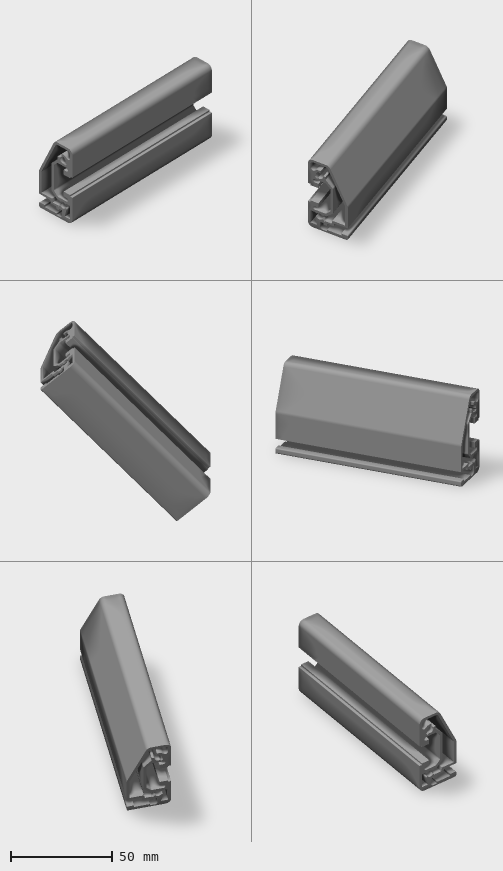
import cadquery as cq
import math

length = 100.0
width = 22.5
height = 45.0
wall = 1.5
overlap = 0.5

slope_angle = math.radians(65)
slope_start_z = 22.4
corner_radius = 3.0
inner_corner_radius = corner_radius - wall
slope_bend_radius = 3.0
slope_top_x = (height - slope_start_z) / math.tan(slope_angle)
inner_right_x = width - wall

mid_z = height / 2
chamber_left_x = 9.9
chamber_half_height = 10.2
chamber_chamfer = 2.6
chamber_bend_radius = 1.0
lip_left_x = 16.6
lip_inner_offset = 8.0
slot_half_opening = 5.1
slot_half_mouth = 6.0
mouth_edge_radius = 0.2
undercut_end_x = 19.6
chamber_outer_chamfer = chamber_chamfer + wall * (2 - math.sqrt(2))
chamber_floor_z = mid_z - chamber_half_height - wall
chamber_roof_z = mid_z + chamber_half_height + wall

channel_x = 16.0
channel_radius = 2.0
upper_channel_z = 36.1
lower_channel_z = 8.9
channel_outer_radius = 3.5
hook_tip_x = 15.3
hook_root_radius = 1.4
arm_left_x = 12.6
arm_top_z = 36.8
arm_right_x = 14.1
arm_tip_radius = 0.6
relief_width = 1.5
relief_reach = 2.9
rib_depth = 0.5
rib_left_x = 13.8
rib_right_x = 18.2

floor_z = 9.3
step_top_x = 8.7
step_foot_x = 9.2
step_floor_z = 7.2
valley_left_x = 12.8
valley_width = 0.6
valley_bevel = 0.3
valley_z = 6.9
peak_z = 7.9
left_peak_x = 14.2
right_peak_x = 18.0
right_peak_bevel = 0.4
web_top_x = 18.4
web_foot_x = 17.4
room_bottom_z = 2.7
shelf_lip_z = 8.1
shelf_bottom_z = 7.8
shelf_end_x = 7.5
step_bottom_z = 6.0
step_bottom_left_x = 8.0
step_bottom_right_x = 11.4
tab_bottom_z = 4.5
tab_left_x = 11.8
tab_right_x = 13.6
groove_roof_z = 5.5
groove_end_x = 15.6
groove_end_radius = 1.4
base_thickness = 1.8
recess_floor_z = 0.9
recess_left_x = 11.7
base_lip_width = 3.7
base_lip_height = 3.0
base_top_corner_radius = 0.6
base_bottom_corner_radius = 0.8


def extrude(sketch):
    return sketch.extrude(-length)


def prism(points):
    return extrude(cq.Workplane("XZ").polyline(points).close())


def cylinder(x, z, radius):
    return extrude(cq.Workplane("XZ").center(x, z).circle(radius))


def round_corners(solid, points, radius):
    """Fillet the lengthwise edges standing at the given (x, z) points."""
    for x, z in points:
        edge = cq.selectors.NearestToPointSelector((x, length / 2, z))
        solid = solid.edges(edge).fillet(radius)
    return solid


def outer_block():
    block = prism([
        (0, 0),
        (width, 0),
        (width, height),
        (slope_top_x, height),
        (0, slope_start_z),
    ])
    big_corners = [(width, 0), (width, height), (slope_top_x, height)]
    block = round_corners(block, big_corners, corner_radius)
    block = round_corners(block, [(0, slope_start_z)], slope_bend_radius)
    return round_corners(block, [(0, 0)], base_bottom_corner_radius)


def inner_room():
    """Hollow inside the shell, down to the stepped floor and the lower right pocket."""
    bend_z = slope_start_z - wall * math.tan((math.pi / 2 - slope_angle) / 2)
    top_z = height - wall
    top_left_x = wall + (top_z - bend_z) / math.tan(slope_angle)
    room = prism([
        (wall, floor_z),
        (step_top_x, floor_z),
        (step_foot_x, step_floor_z),
        (valley_left_x, step_floor_z),
        (valley_left_x + valley_bevel, valley_z),
        (valley_left_x + valley_width, valley_z),
        (left_peak_x, peak_z),
        (right_peak_x, peak_z),
        (web_top_x, peak_z - right_peak_bevel),
        (web_top_x, valley_z),
        (web_foot_x, room_bottom_z),
        (inner_right_x, room_bottom_z),
        (inner_right_x, top_z),
        (top_left_x, top_z),
        (wall, bend_z),
    ])
    corners = [(inner_right_x, top_z), (top_left_x, top_z)]
    return round_corners(room, corners, inner_corner_radius)


def chamber_block():
    """Solid block holding the slot chamber with its wall around it."""
    left_x = chamber_left_x - wall
    half = chamber_half_height + wall
    chamfer = chamber_outer_chamfer
    right_x = inner_right_x + overlap
    block = prism([
        (right_x, mid_z - half),
        (left_x + chamfer, mid_z - half),
        (left_x, mid_z - half + chamfer),
        (left_x, mid_z + half - chamfer),
        (left_x + chamfer, mid_z + half),
        (right_x, mid_z + half),
    ])
    bends = [(left_x, mid_z - half + chamfer), (left_x, mid_z + half - chamfer)]
    return round_corners(block, bends, chamber_bend_radius)


def chamber_cut():
    """Slot chamber with its two undercuts and the opening between the lips."""
    top_z = mid_z + chamber_half_height
    bottom_z = mid_z - chamber_half_height
    bends = [
        (chamber_left_x + chamber_chamfer, bottom_z),
        (chamber_left_x, bottom_z + chamber_chamfer),
        (chamber_left_x, top_z - chamber_chamfer),
        (chamber_left_x + chamber_chamfer, top_z),
    ]
    chamber = prism([(lip_left_x, bottom_z), *bends, (lip_left_x, top_z)])
    chamber = round_corners(chamber, bends, chamber_bend_radius)
    undercut_radius = (chamber_half_height - lip_inner_offset) / 2
    undercut_offset = (chamber_half_height + lip_inner_offset) / 2
    round_x = undercut_end_x - undercut_radius
    for side in (-1, 1):
        near_z = mid_z + side * lip_inner_offset
        far_z = mid_z + side * chamber_half_height
        undercut = prism([
            (lip_left_x, near_z),
            (round_x, near_z),
            (round_x, far_z),
            (lip_left_x, far_z),
        ])
        chamber = chamber.union(undercut)
        chamber = chamber.union(cylinder(round_x, mid_z + side * undercut_offset, undercut_radius))
    opening = prism([
        (lip_left_x, mid_z - slot_half_opening),
        (inner_right_x, mid_z - slot_half_opening),
        (inner_right_x, mid_z - slot_half_mouth),
        (width, mid_z - slot_half_mouth),
        (width, mid_z + slot_half_mouth),
        (inner_right_x, mid_z + slot_half_mouth),
        (inner_right_x, mid_z + slot_half_opening),
        (lip_left_x, mid_z + slot_half_opening),
    ])
    return chamber.union(opening)


def upper_channel_block():
    """Metal around the upper screw channel: left arm, right mass and curved hook."""
    tip_z = upper_channel_z + math.sqrt(channel_outer_radius**2 - (hook_tip_x - channel_x)**2)
    root_x = inner_right_x - hook_root_radius
    root_distance = channel_outer_radius + hook_root_radius
    root_angle = math.acos((root_x - channel_x) / root_distance)
    root_z = upper_channel_z + root_distance * math.sin(root_angle)
    full_turn = 2 * math.pi
    back_angle = (math.pi / 2 + root_angle) / 2
    root_mid_angle = (root_angle + math.pi + full_turn) / 2

    def on_back(angle):
        return (channel_x + channel_outer_radius * math.cos(angle),
                upper_channel_z + channel_outer_radius * math.sin(angle))

    root_middle = (root_x + hook_root_radius * math.cos(root_mid_angle),
                   root_z + hook_root_radius * math.sin(root_mid_angle))
    base_z = chamber_roof_z - overlap
    arm_foot_x = chamber_left_x - wall + chamber_outer_chamfer
    block = extrude(
        cq.Workplane("XZ")
        .moveTo(arm_foot_x, base_z)
        .lineTo(arm_foot_x, chamber_roof_z)
        .lineTo(arm_left_x, chamber_roof_z + arm_left_x - arm_foot_x)
        .lineTo(arm_left_x, arm_top_z)
        .lineTo(arm_right_x, arm_top_z)
        .lineTo(arm_right_x, upper_channel_z)
        .lineTo(hook_tip_x, upper_channel_z)
        .lineTo(hook_tip_x, tip_z)
        .threePointArc(on_back(back_angle), on_back(root_angle))
        .threePointArc(root_middle, (inner_right_x, root_z))
        .lineTo(inner_right_x + overlap, root_z)
        .lineTo(inner_right_x + overlap, base_z)
        .close()
    )
    return round_corners(block, [(arm_right_x, arm_top_z)], arm_tip_radius)


def relief_groove():
    """Square groove leaving the upper channel diagonally, down and to the right."""
    groove = prism([
        (0, -relief_width / 2),
        (relief_reach, -relief_width / 2),
        (relief_reach, relief_width / 2),
        (0, relief_width / 2),
    ])
    groove = groove.rotate((0, 0, 0), (0, 1, 0), 45)
    return groove.translate((channel_x, 0, upper_channel_z))


def lower_channel_ribs():
    """Bar under the chamber that the lower screw channel splits into two ribs."""
    top_z = chamber_floor_z + overlap
    bottom_z = chamber_floor_z - rib_depth
    return prism([
        (rib_left_x, top_z),
        (rib_left_x, bottom_z),
        (rib_right_x, bottom_z),
        (rib_right_x, top_z),
    ])


def left_groove():
    """Stepped groove between the floor and the base, open to the left."""
    groove = prism([
        (0, shelf_lip_z),
        (shelf_end_x, shelf_bottom_z),
        (step_bottom_left_x, step_bottom_z),
        (step_bottom_right_x, step_bottom_z),
        (tab_left_x, tab_bottom_z),
        (tab_right_x, tab_bottom_z),
        (tab_right_x, groove_roof_z),
        (groove_end_x, groove_roof_z),
        (groove_end_x, recess_floor_z),
        (recess_left_x, recess_floor_z),
        (recess_left_x, base_thickness),
        (base_lip_width, base_thickness),
        (base_lip_width, base_lip_height),
        (0, base_lip_height),
    ])
    return round_corners(groove, [(groove_end_x, recess_floor_z)], groove_end_radius)


result = outer_block().cut(inner_room())
result = result.union(chamber_block())
result = result.union(upper_channel_block())
result = result.union(lower_channel_ribs())

result = result.cut(chamber_cut())
result = result.cut(cylinder(channel_x, upper_channel_z, channel_radius))
result = result.cut(relief_groove())
result = result.cut(cylinder(channel_x, lower_channel_z, channel_radius))
result = result.cut(left_groove())

mouth_edges = [(width, mid_z - slot_half_mouth), (width, mid_z + slot_half_mouth)]
result = round_corners(result, mouth_edges, mouth_edge_radius)
result = round_corners(result, [(0, base_lip_height)], base_top_corner_radius)